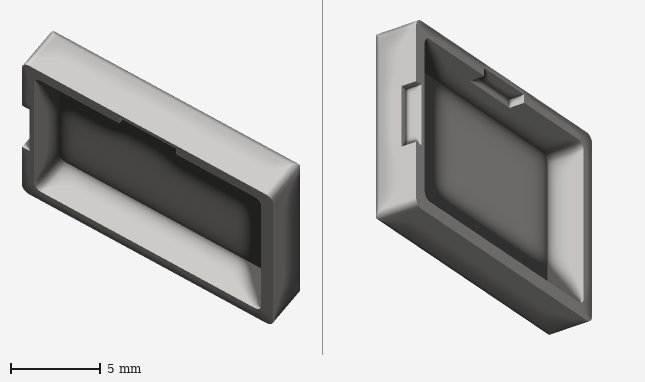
import cadquery as cq

length = 16.99
depth = 3.0
height = 12.0
edge_radius = 0.5

wall = 0.82
pocket_depth = 2.5
pocket_radius = 0.5

notch_length = 3.85
notch_depth = 1.0
side_notch_recess = 0.5
top_notch_recess = 0.53


def block_from_front(size_x, size_y, size_z):
    """Block centred in X and Z, reaching from the open face (Y = 0) toward +Y."""
    return cq.Workplane("XY").box(size_x, size_y, size_z, centered=(True, False, True))


block = block_from_front(length, depth, height)
body = block.edges("|Y").fillet(edge_radius)
for back_edges in ("|X and >Y", "|Z and >Y"):
    body = body.intersect(block.edges(back_edges).fillet(edge_radius))

pocket = block_from_front(length - 2 * wall, pocket_depth, height - 2 * wall)
pocket = pocket.edges("|Y").fillet(pocket_radius)

side_notch = block_from_front(2 * side_notch_recess, notch_depth, notch_length)
side_notch = side_notch.translate((-length / 2, 0, 0))

top_notch = block_from_front(notch_length, notch_depth, 2 * top_notch_recess)
top_notch = top_notch.translate((0, 0, height / 2 - wall))

result = body.cut(pocket).cut(side_notch).cut(top_notch)